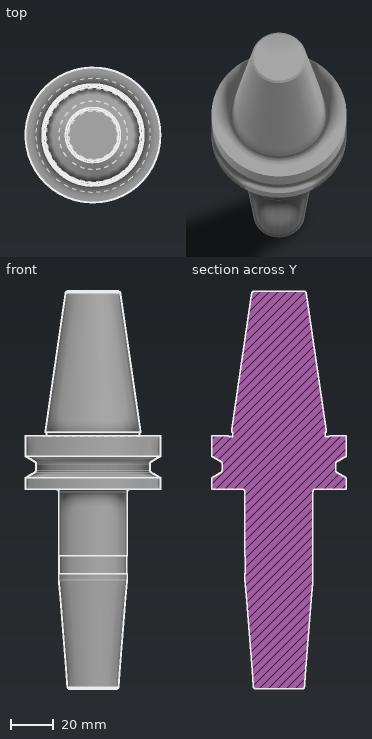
import cadquery as cq
import math

gauge_diameter = 44.45
taper_length = 65.4
taper_ratio = 7 / 24
taper_tip_chamfer = 0.8
taper_base_land = 0.5

neck_diameter = 43.4
relief_diameter = 47.5
relief_depth = 0.3
relief_wall_flare = 0.7

flange_diameter = 63.0
flange_top_z = -2.0
flange_bottom_z = -27.0
groove_center_z = -16.6
groove_width = 10.0
groove_floor_diameter = 53.2
groove_flank_angle = 30.0
groove_floor_fillet = 1.0

nose_diameter = 32.0
nose_end_z = -120.0
nose_end_diameter = 24.0
nose_cone_angle = 4.5
nose_root_fillet = 1.0
nose_end_chamfer = 0.8

band_top_z = -58.0
band_bottom_z = -66.2
band_depth = 0.15


def revolve_profile(points):
    """Revolve a closed (radius, z) outline about the Z axis."""
    return cq.Workplane("XZ").polyline(points).close().revolve(360, (0, 0, 0), (0, 1, 0))


def make_shank():
    """Taper with its chamfered tip, and the neck carried down inside the flange."""
    base_radius = gauge_diameter / 2
    tip_radius = base_radius - taper_length * taper_ratio / 2
    neck_radius = neck_diameter / 2
    tip_shoulder_z = taper_length - taper_tip_chamfer
    tip_shoulder_radius = tip_radius + taper_tip_chamfer * taper_ratio / 2
    return revolve_profile([
        (0, flange_bottom_z),
        (neck_radius, flange_bottom_z),
        (neck_radius, -taper_base_land),
        (base_radius, -taper_base_land),
        (base_radius, 0),
        (tip_shoulder_radius, tip_shoulder_z),
        (tip_radius - taper_tip_chamfer, taper_length),
        (0, taper_length),
    ])


def make_flange():
    """Disc with a rounded-bottom V-groove and the relief recess in its top face."""
    outer_radius = flange_diameter / 2
    floor_radius = groove_floor_diameter / 2
    flank_height = (outer_radius - floor_radius) * math.tan(math.radians(groove_flank_angle))
    half_mouth = groove_width / 2
    half_floor = half_mouth - flank_height
    flange = revolve_profile([
        (0, flange_bottom_z),
        (outer_radius, flange_bottom_z),
        (outer_radius, groove_center_z - half_mouth),
        (floor_radius, groove_center_z - half_floor),
        (floor_radius, groove_center_z + half_floor),
        (outer_radius, groove_center_z + half_mouth),
        (outer_radius, flange_top_z),
        (0, flange_top_z),
    ])
    floor_edges = flange.edges("%CIRCLE").edges(cq.selectors.RadiusNthSelector(0))
    flange = floor_edges.fillet(groove_floor_fillet)
    return flange.cut(make_relief())


def make_relief():
    """Ring-shaped recess around the neck, with a flat floor and a flaring outer wall."""
    neck_radius = neck_diameter / 2
    mouth_radius = relief_diameter / 2
    floor_z = flange_top_z - relief_depth
    return revolve_profile([
        (neck_radius, flange_top_z),
        (neck_radius, floor_z),
        (mouth_radius - relief_wall_flare, floor_z),
        (mouth_radius, flange_top_z),
    ])


def make_nose():
    """Cylinder with a shallow band, filleted into the flange and ending in a chamfered cone."""
    nose_radius = nose_diameter / 2
    band_radius = nose_radius - band_depth
    end_radius = nose_end_diameter / 2
    cone_height = (nose_radius - end_radius) / math.tan(math.radians(nose_cone_angle))
    end_chamfer_z = nose_end_z + nose_end_chamfer
    root_z = flange_bottom_z - nose_root_fillet
    root_radius = nose_radius + nose_root_fillet
    arc_offset = nose_root_fillet * math.sqrt(0.5)
    return (
        cq.Workplane("YZ")
        .moveTo(0, nose_end_z)
        .lineTo(end_radius - nose_end_chamfer, nose_end_z)
        .lineTo(end_radius, end_chamfer_z)
        .lineTo(nose_radius, nose_end_z + cone_height)
        .lineTo(nose_radius, band_bottom_z)
        .lineTo(band_radius, band_bottom_z)
        .lineTo(band_radius, band_top_z)
        .lineTo(nose_radius, band_top_z)
        .lineTo(nose_radius, root_z)
        .threePointArc(
            (root_radius - arc_offset, root_z + arc_offset),
            (root_radius, flange_bottom_z),
        )
        .lineTo(0, flange_bottom_z)
        .close()
        .revolve(360, (0, 0, 0), (0, 1, 0))
    )


result = make_flange().union(make_shank()).union(make_nose())